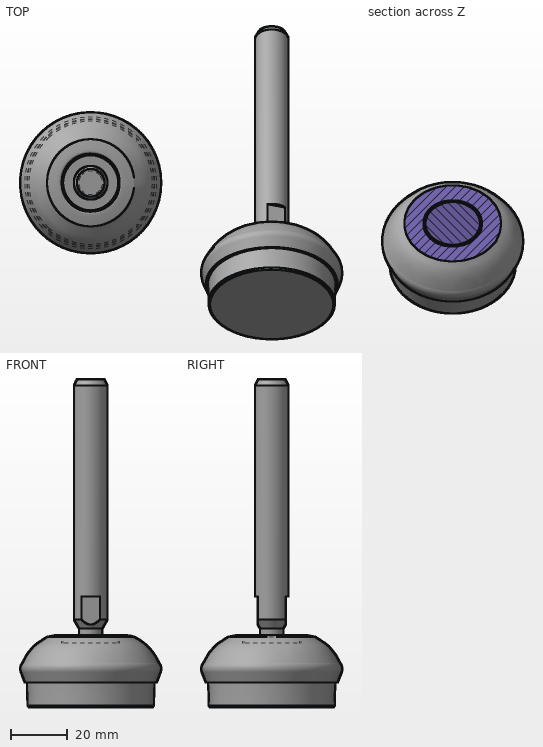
import cadquery as cq

total_height = 116.0

foot_diameter = 50.0
foot_height = 25.6
sole_radius = 22.4
sole_chamfer = 0.6
skirt_radius = 22.6
ledge_height = 8.7
ledge_radius = 23.3
rim_bottom_height = 12.5
rim_bottom_radius = 24.8
rim_middle_height = 13.5
rim_top_height = 15.7
rim_top_radius = 24.2
dome_middle_height = 21.1
dome_middle_radius = 20.6
dome_top_height = 24.9
dome_top_radius = 15.4
crown_middle_height = 25.4
crown_middle_radius = 13.5
recess_diameter = 20.5
recess_depth = 2.9
mouth_rounding = 0.8

rod_diameter = 12.0
rod_tip_radius = 4.9
rod_tip_height = 2.2
neck_diameter = 8.4
flange_diameter = 19.5
cone_bottom_height = 27.8
cone_top_height = 31.0

flats_width = 10.0
flats_top_height = 39.1


def make_foot():
    """Domed foot with a shallow recess in its top for the spindle flange."""
    recess_radius = recess_diameter / 2
    recess_floor = foot_height - recess_depth
    return (
        cq.Workplane("XZ")
        .moveTo(0, 0)
        .lineTo(sole_radius - sole_chamfer, 0)
        .lineTo(sole_radius, sole_chamfer)
        .lineTo(skirt_radius, ledge_height)
        .lineTo(ledge_radius, ledge_height)
        .lineTo(rim_bottom_radius, rim_bottom_height)
        .threePointArc((foot_diameter / 2, rim_middle_height), (rim_top_radius, rim_top_height))
        .threePointArc((dome_middle_radius, dome_middle_height), (dome_top_radius, dome_top_height))
        .threePointArc(
            (crown_middle_radius, crown_middle_height),
            (recess_radius + mouth_rounding, foot_height),
        )
        .radiusArc((recess_radius, foot_height - mouth_rounding), -mouth_rounding)
        .lineTo(recess_radius, recess_floor)
        .lineTo(0, recess_floor)
        .close()
        .revolve(360, (0, 0, 0), (0, 1, 0))
    )


def cut_wrench_flats(spindle):
    """Remove the material outside the two flats, between the neck and the flats' top."""
    flats_height = flats_top_height - cone_bottom_height
    for side in (-1, 1):
        cutter = (
            cq.Workplane("XY", origin=(0, side * (flats_width + rod_diameter) / 2, cone_bottom_height))
            .box(2 * rod_diameter, rod_diameter, flats_height, centered=(True, True, False))
        )
        spindle = spindle.cut(cutter)
    return spindle


def make_spindle():
    """Rod with chamfered tip, tapering to a neck above a flange flush with the foot's top."""
    rod_radius = rod_diameter / 2
    neck_radius = neck_diameter / 2
    flange_radius = flange_diameter / 2
    flange_bottom = foot_height - recess_depth
    spindle = (
        cq.Workplane("XZ")
        .moveTo(0, flange_bottom)
        .lineTo(flange_radius, flange_bottom)
        .lineTo(flange_radius, foot_height)
        .lineTo(neck_radius, foot_height)
        .lineTo(neck_radius, cone_bottom_height)
        .lineTo(rod_radius, cone_top_height)
        .lineTo(rod_radius, total_height - rod_tip_height)
        .lineTo(rod_tip_radius, total_height)
        .lineTo(0, total_height)
        .close()
        .revolve(360, (0, 0, 0), (0, 1, 0))
    )
    return cut_wrench_flats(spindle)


foot = make_foot()
spindle = make_spindle()

result = cq.Compound.makeCompound([foot.val(), spindle.val()])